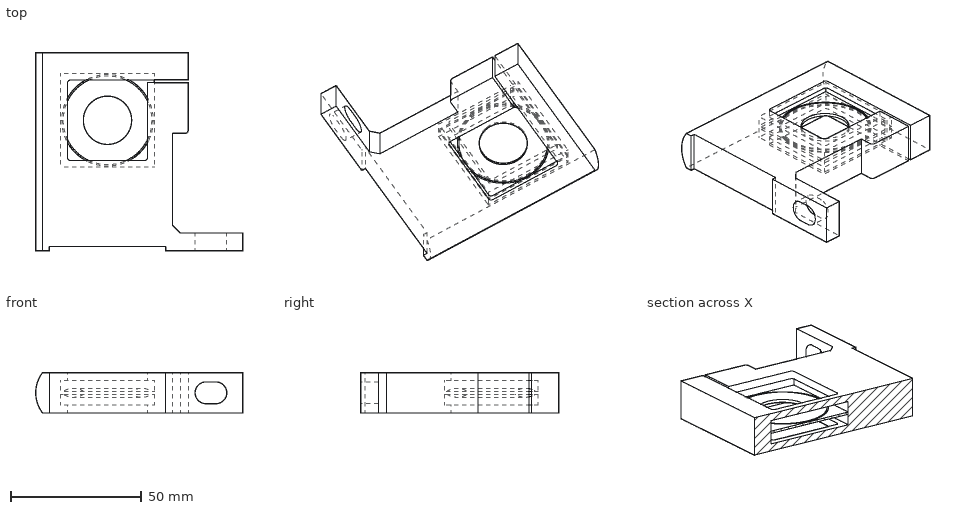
import cadquery as cq
import math

LENGTH = 79.5
DEPTH = 76.0
THICKNESS = 15.5
EDGE_BULGE = 2.6

FOOT_RIGHT = 5.25
NOTCH_DEPTH = 1.7
LUG_LEFT = 49.85
LUG_TOP = 6.9
LUG_CHAMFER = 2.95
BODY_RIGHT = 52.55
HEAD_RIGHT = 58.6
HEAD_BOTTOM = 45.1
HEAD_CORNER_RADIUS = 1.3

LUG_SLOT_LENGTH = 12.1
LUG_SLOT_HEIGHT = 8.3
LUG_SLOT_CENTER_X = 67.25

WINDOW_WIDTH = 30.7
WINDOW_HEIGHT = 31.0
WINDOW_CENTER_X = 27.6
WINDOW_CENTER_Y = 50.1
WINDOW_CORNER_RADIUS = 1.3
GAP_WIDTH = 1.0
WINDOW_TOP = WINDOW_CENTER_Y + WINDOW_HEIGHT / 2

LIP_THICKNESS = 3.1
CAVITY_SIZE = 35.9
CAVITY_HEIGHT = THICKNESS - 2 * LIP_THICKNESS

PLATE_THICKNESS = 1.1
RING_INNER_RADIUS = 9.2
RING_OUTER_RADIUS = 17.6
RING_SHOULDER = 0.55
CROWN_RADIUS = 7.0
CROWN_WIDTH = RING_OUTER_RADIUS - RING_SHOULDER - RING_INNER_RADIUS
CROWN_HEIGHT = CROWN_RADIUS - math.sqrt(CROWN_RADIUS**2 - (CROWN_WIDTH / 2) ** 2)


def block_at_window(width, depth, height):
    """Rectangular block centred on the window axis and on mid thickness."""
    return cq.Workplane("XY", origin=(WINDOW_CENTER_X, WINDOW_CENTER_Y, 0)).box(width, depth, height)


def housing_blank():
    """Plan outline through the full thickness, with the bulged left edge."""
    plan = (
        cq.Workplane("XY", origin=(0, 0, -THICKNESS / 2))
        .moveTo(EDGE_BULGE, 0)
        .lineTo(FOOT_RIGHT, 0)
        .lineTo(FOOT_RIGHT, NOTCH_DEPTH)
        .lineTo(LUG_LEFT, NOTCH_DEPTH)
        .lineTo(LUG_LEFT, 0)
        .lineTo(LENGTH, 0)
        .lineTo(LENGTH, LUG_TOP)
        .lineTo(BODY_RIGHT + LUG_CHAMFER, LUG_TOP)
        .lineTo(BODY_RIGHT, LUG_TOP + LUG_CHAMFER)
        .lineTo(BODY_RIGHT, HEAD_BOTTOM)
        .lineTo(HEAD_RIGHT - HEAD_CORNER_RADIUS, HEAD_BOTTOM)
        .radiusArc((HEAD_RIGHT, HEAD_BOTTOM + HEAD_CORNER_RADIUS), -HEAD_CORNER_RADIUS)
        .lineTo(HEAD_RIGHT, DEPTH)
        .lineTo(EDGE_BULGE, DEPTH)
        .close()
        .extrude(THICKNESS)
    )
    bulge = (
        cq.Workplane("XZ")
        .moveTo(EDGE_BULGE, -THICKNESS / 2)
        .threePointArc((0, 0), (EDGE_BULGE, THICKNESS / 2))
        .close()
        .extrude(-DEPTH)
    )
    return plan.union(bulge)


def lug_slot():
    """Round-ended slot through the lug along Y."""
    return (
        cq.Workplane("XZ", origin=(LUG_SLOT_CENTER_X, 0, 0))
        .slot2D(LUG_SLOT_LENGTH, LUG_SLOT_HEIGHT)
        .extrude(-LUG_TOP)
    )


def window():
    """Window through the housing, rounded except where the gap enters."""
    return (
        block_at_window(WINDOW_WIDTH, WINDOW_HEIGHT, THICKNESS)
        .edges("|Z and (<X or <Y)")
        .fillet(WINDOW_CORNER_RADIUS)
    )


def window_gap():
    """Narrow cut from the window's upper right corner out through the head."""
    return cq.Workplane("XY").box(
        HEAD_RIGHT - WINDOW_CENTER_X, GAP_WIDTH, THICKNESS, centered=(False, False, True)
    ).translate((WINDOW_CENTER_X, WINDOW_TOP - GAP_WIDTH, 0))


def cavity():
    """Square pocket, wider than the window, between the lips."""
    return block_at_window(CAVITY_SIZE, CAVITY_SIZE, CAVITY_HEIGHT)


def make_housing():
    """Housing with every opening cut through it."""
    return housing_blank().cut(lug_slot()).cut(window()).cut(window_gap()).cut(cavity())


def make_plate():
    """Square plate filling the cavity's width, with a round hole for the ring."""
    return (
        block_at_window(CAVITY_SIZE, CAVITY_SIZE, PLATE_THICKNESS)
        .faces(">Z")
        .workplane()
        .hole(2 * RING_OUTER_RADIUS)
    )


def make_ring():
    """Flat ring flush with the plate, crowned alike on both faces."""
    crown_outer = RING_INNER_RADIUS + CROWN_WIDTH
    crown_middle = RING_INNER_RADIUS + CROWN_WIDTH / 2
    face = PLATE_THICKNESS / 2
    crest = face + CROWN_HEIGHT
    return (
        cq.Workplane("XZ", origin=(WINDOW_CENTER_X, WINDOW_CENTER_Y, 0))
        .moveTo(RING_INNER_RADIUS, -face)
        .lineTo(RING_INNER_RADIUS, face)
        .threePointArc((crown_middle, crest), (crown_outer, face))
        .lineTo(RING_OUTER_RADIUS, face)
        .lineTo(RING_OUTER_RADIUS, -face)
        .lineTo(crown_outer, -face)
        .threePointArc((crown_middle, -crest), (RING_INNER_RADIUS, -face))
        .close()
        .revolve(360, (0, 0, 0), (0, 1, 0))
    )


housing = make_housing()
plate = make_plate()
ring = make_ring()

result = cq.Compound.makeCompound([housing.val(), plate.val(), ring.val()])